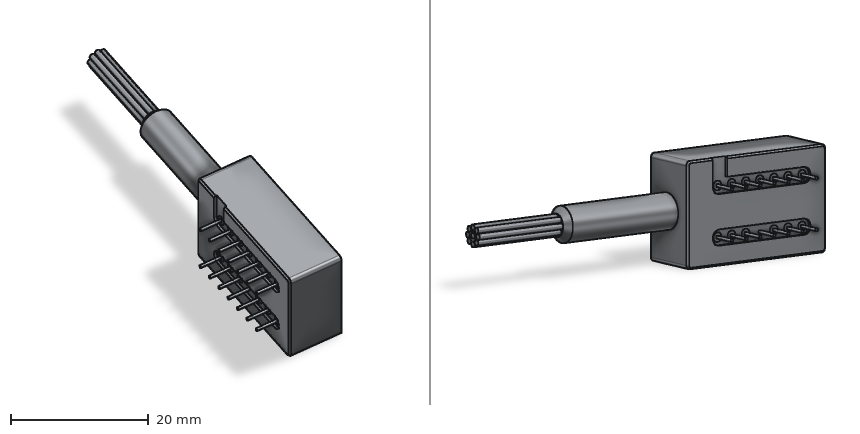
import cadquery as cq

wire_length = 15.0
jacket_length = 20.0
housing_length = 25.0
housing_depth = 9.0
housing_height = 16.0
housing_left = wire_length + jacket_length

side_fillet = 0.65
front_chamfer = 0.3

pins_per_row = 7
row_length = 15.25
pin_pitch = row_length / (pins_per_row - 1)
row_spacing = row_length / 2
pin_radius = 0.25
pin_reach = 3.1
first_pin_inset = 5.75
first_pin_x = housing_left + first_pin_inset
row_center_x = first_pin_x + row_length / 2
upper_row_z = row_spacing / 2
lower_row_z = -row_spacing / 2

slot_depth = 0.5
slot_width = 2.4
slot_length = row_length + slot_width
channel_width = 2.65
channel_left = row_center_x - slot_length / 2

bead_radius = 0.7
bead_length = 0.5
plate_thickness = 1.2
plate_length = slot_length
plate_height = row_spacing + slot_width
plate_front = slot_depth + bead_length
plain_pin_index = 3

cable_y = 5.05
jacket_radius = 2.75
jacket_chamfer = 1.0
wire_radius = 0.45
wire_ring_radius = 1.25
ring_wires = 8
wire_overlap = 0.6


def rod_from(y_start, y_end, radius, places):
    """Round rods along Y between two depths, centred on the (x, z) places."""
    plane = cq.Workplane("XZ").workplane(offset=-y_start)
    return plane.pushPoints(places).circle(radius).extrude(y_start - y_end)


def row_places(z):
    """The (x, z) places of the pins in the row at height z."""
    return [(first_pin_x + i * pin_pitch, z) for i in range(pins_per_row)]


def make_header():
    plate = cq.Workplane("XY").box(plate_length, plate_thickness, plate_height, centered=(True, False, True))
    plate = plate.translate((row_center_x, plate_front, 0))

    pin_places = row_places(upper_row_z) + row_places(lower_row_z)
    plain_place = row_places(lower_row_z)[plain_pin_index]
    bead_places = [place for place in pin_places if place != plain_place]

    beads = rod_from(slot_depth, plate_front, bead_radius, bead_places)
    pins = rod_from(-pin_reach, plate_front, pin_radius, pin_places)
    return plate.union(beads).union(pins)


def make_housing(header):
    block = cq.Workplane("XY")
    block = block.box(housing_length, housing_depth, housing_height, centered=(False, False, True))
    block = block.translate((housing_left, 0, 0))
    block = block.edges("|Y").fillet(side_fillet)
    block = block.faces("<Y").edges().chamfer(front_chamfer)

    for z in (upper_row_z, lower_row_z):
        slot = cq.Workplane("XZ").center(row_center_x, z).slot2D(slot_length, slot_width).extrude(-slot_depth)
        block = block.cut(slot)

    channel_height = housing_height / 2 - upper_row_z
    channel = cq.Workplane("XY").box(channel_width, slot_depth, channel_height, centered=False)
    block = block.cut(channel.translate((channel_left, 0, upper_row_z)))

    return block.cut(header)


def make_cable():
    jacket = cq.Workplane("YZ").workplane(offset=wire_length).center(cable_y, 0)
    jacket = jacket.circle(jacket_radius).extrude(jacket_length)
    jacket = jacket.faces("<X").chamfer(jacket_chamfer)

    total_wire_length = wire_length + wire_overlap
    axis = cq.Workplane("YZ").center(cable_y, 0)
    central_wire = axis.circle(wire_radius).extrude(total_wire_length)
    outer_places = axis.polarArray(wire_ring_radius, 0, 360, ring_wires)
    outer_wires = outer_places.circle(wire_radius).extrude(total_wire_length)
    return jacket.union(central_wire).union(outer_wires)


header = make_header()
housing = make_housing(header)
cable = make_cable()

result = cq.Compound.makeCompound([housing.val(), header.val(), cable.val()])